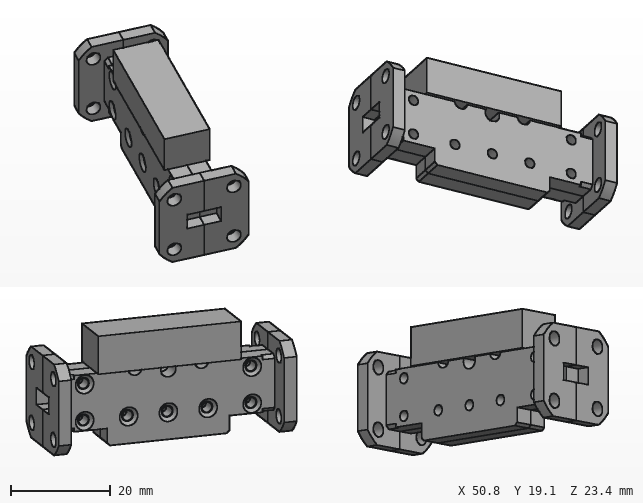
import cadquery as cq
import math

total_length = 50.8

flange_side = 19.05
flange_thickness = 2.7
flange_flat_length = 13.5
flange_hole_diameter = 2.95
flange_hole_spacing = 12.7
opening_width = 7.2
opening_height = 3.55

body_width = 8.1
body_height = 11.8
tab_length = 26.1
tab_chamfer = 0.6
corner_chamfer = 0.75
corner_chamfer_length = 2.6

screw_hole_diameter = 2.15
countersink_diameter = 3.85
countersink_floor_diameter = 2.4
countersink_depth = 0.7
screw_spacing_z = 7.65
outer_screw_x = 17.9
inner_screw_x = 8.5

middle_cross_hole_diameter = 3.2
middle_cross_hole_z = 5.2
side_cross_hole_diameter = 2.9
side_cross_hole_z = 6.1
side_cross_hole_x = 7.1

block_length = 30.5
block_width = 9.65
overall_height = 23.35

flange_half = flange_side / 2
body_length = total_length - 2 * flange_thickness
body_half_length = body_length / 2
body_half_width = body_width / 2
body_top = body_height / 2
block_height = overall_height - flange_half - body_top


def y_cylinder(diameter, x, z):
    """Cylinder along Y at (x, z), as long as the body is wide."""
    plane = cq.Workplane("XZ", origin=(x, 0, z))
    return plane.circle(diameter / 2).extrude(body_half_width, both=True)


def front_half(shape):
    """The part of a shape on the -Y side of the split plane."""
    front_space = cq.Workplane("XY").box(total_length, flange_half, flange_side)
    return shape.intersect(front_space.translate((0, -flange_half / 2, 0)))


def make_full_flange():
    """Flange at the -X end with corners rounded by a circle about the waveguide axis."""
    corner_radius = math.hypot(flange_half, flange_flat_length / 2)
    plane = cq.Workplane("YZ", origin=(-total_length / 2, 0, 0))
    square = plane.rect(flange_side, flange_side).extrude(flange_thickness)
    disc = plane.circle(corner_radius).extrude(flange_thickness)
    opening = plane.rect(opening_width, opening_height).extrude(flange_thickness)
    holes = (
        plane.rect(flange_hole_spacing, flange_hole_spacing, forConstruction=True)
        .vertices()
        .circle(flange_hole_diameter / 2)
        .extrude(flange_thickness)
    )
    return square.intersect(disc).cut(opening).cut(holes)


def make_body_blank():
    """Full-width bar with a lower tab level with the bottom of the flanges."""
    bar = cq.Workplane("XY").box(body_length, body_width, body_height)
    tab_height = flange_half - body_top
    tab = cq.Workplane("XY").box(tab_length, body_width, tab_height)
    tab = tab.edges("|Y and <Z").chamfer(tab_chamfer)
    return bar.union(tab.translate((0, 0, -body_top - tab_height / 2)))


def cut_corner_chamfers(body):
    """Bevel the four long edges of the bar over a short length next to each flange."""
    for x_side in (-1, 1):
        x_middle = x_side * (body_half_length - corner_chamfer_length / 2)
        for y_side in (-1, 1):
            for z_side in (-1, 1):
                y_edge = y_side * body_half_width
                z_edge = z_side * body_top
                bevel = (
                    cq.Workplane("YZ", origin=(x_middle, 0, 0))
                    .moveTo(y_edge, z_edge)
                    .lineTo(y_edge - y_side * corner_chamfer, z_edge)
                    .lineTo(y_edge, z_edge - z_side * corner_chamfer)
                    .close()
                    .extrude(corner_chamfer_length / 2, both=True)
                )
                body = body.cut(bevel)
    return body


def cut_screw_holes(body):
    """Upper pair and lower row of holes, countersunk from the -Y face."""
    upper_z = screw_spacing_z / 2
    lower_z = -upper_z
    places = [(x, upper_z) for x in (-outer_screw_x, outer_screw_x)]
    places += [(x, lower_z) for x in (-outer_screw_x, -inner_screw_x, 0, inner_screw_x, outer_screw_x)]
    for x, z in places:
        hole = y_cylinder(screw_hole_diameter, x, z)
        sink = cq.Workplane(cq.Solid.makeCone(
            countersink_diameter / 2, countersink_floor_diameter / 2, countersink_depth,
            cq.Vector(x, -body_half_width, z), cq.Vector(0, 1, 0)))
        body = body.cut(hole).cut(sink)
    return body


def cut_cross_holes(body):
    """Three holes along Y that open into the top face."""
    places = [
        (side_cross_hole_diameter, -side_cross_hole_x, side_cross_hole_z),
        (middle_cross_hole_diameter, 0, middle_cross_hole_z),
        (side_cross_hole_diameter, side_cross_hole_x, side_cross_hole_z),
    ]
    for diameter, x, z in places:
        body = body.cut(y_cylinder(diameter, x, z))
    return body


def make_body_halves():
    """Front and back halves of the split body."""
    full_body = cut_corner_chamfers(make_body_blank())
    full_body = cut_cross_holes(cut_screw_holes(full_body))
    front = front_half(full_body)
    back = full_body.cut(front)
    return front, back


def make_flange_halves():
    """Four flange halves, a front and a back one at each end."""
    end_half = front_half(make_full_flange())
    halves = []
    for half in (end_half, end_half.mirror("YZ")):
        halves.append(half.val())
        halves.append(half.mirror("XZ").val())
    return halves


def make_cover_block():
    """Plain block resting on top of the body."""
    block = cq.Workplane("XY").box(block_length, block_width, block_height)
    return block.translate((0, 0, body_top + block_height / 2))


front_body, back_body = make_body_halves()
flange_halves = make_flange_halves()
cover_block = make_cover_block()

result = cq.Compound.makeCompound([
    front_body.val(),
    back_body.val(),
    *flange_halves,
    cover_block.val(),
])